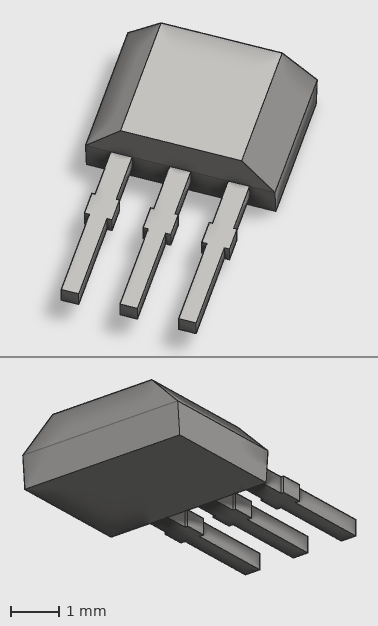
import cadquery as cq
import math

BODY_WIDTH = 4.1
BODY_LENGTH = 3.0
BODY_HEIGHT = 1.5
PARTING_HEIGHT = 0.76
TOP_WIDTH = 2.62
END_DRAFT_ANGLE = 5.0

LEAD_COUNT = 3
LEAD_PITCH = 1.27
LEAD_THICKNESS = 0.38
ROOT_WIDTH = 0.46
ROOT_LENGTH = 1.12
SHOULDER_WIDTH = 0.6
SHOULDER_LENGTH = 0.53
TIP_WIDTH = 0.38
TIP_LENGTH = 2.0
EMBED_DEPTH = 0.3



def drafted_inset(height):
    """Distance an end face leans inwards over the given height."""
    return height * math.tan(math.radians(END_DRAFT_ANGLE))


def make_body():
    """Common volume of the front outline and the drafted side outline."""
    front_outline = (
        cq.Workplane("XZ")
        .polyline([
            (-BODY_WIDTH / 2, 0),
            (BODY_WIDTH / 2, 0),
            (BODY_WIDTH / 2, PARTING_HEIGHT),
            (TOP_WIDTH / 2, BODY_HEIGHT),
            (-TOP_WIDTH / 2, BODY_HEIGHT),
            (-BODY_WIDTH / 2, PARTING_HEIGHT),
        ])
        .close()
        .extrude(-BODY_LENGTH)
    )
    bottom_inset = drafted_inset(PARTING_HEIGHT)
    top_inset = drafted_inset(BODY_HEIGHT - PARTING_HEIGHT)
    side_outline = (
        cq.Workplane("YZ")
        .polyline([
            (bottom_inset, 0),
            (BODY_LENGTH - bottom_inset, 0),
            (BODY_LENGTH, PARTING_HEIGHT),
            (BODY_LENGTH - top_inset, BODY_HEIGHT),
            (top_inset, BODY_HEIGHT),
            (0, PARTING_HEIGHT),
        ])
        .close()
        .extrude(BODY_WIDTH / 2, both=True)
    )
    return front_outline.intersect(side_outline)


def make_lead(center_x):
    """Flat stepped lead whose top face lies on the parting plane."""
    shoulder_start = -ROOT_LENGTH
    shoulder_end = shoulder_start - SHOULDER_LENGTH
    tip_end = shoulder_end - TIP_LENGTH
    half_outline = [
        (ROOT_WIDTH / 2, EMBED_DEPTH),
        (ROOT_WIDTH / 2, shoulder_start),
        (SHOULDER_WIDTH / 2, shoulder_start),
        (SHOULDER_WIDTH / 2, shoulder_end),
        (TIP_WIDTH / 2, shoulder_end),
        (TIP_WIDTH / 2, tip_end),
    ]
    mirrored_half = [(-x, y) for x, y in reversed(half_outline)]
    return (
        cq.Workplane("XY")
        .workplane(offset=PARTING_HEIGHT)
        .center(center_x, 0)
        .polyline(half_outline + mirrored_half)
        .close()
        .extrude(-LEAD_THICKNESS)
    )


result = make_body()
for lead_index in range(LEAD_COUNT):
    lead_x = (lead_index - (LEAD_COUNT - 1) / 2) * LEAD_PITCH
    result = result.union(make_lead(lead_x))